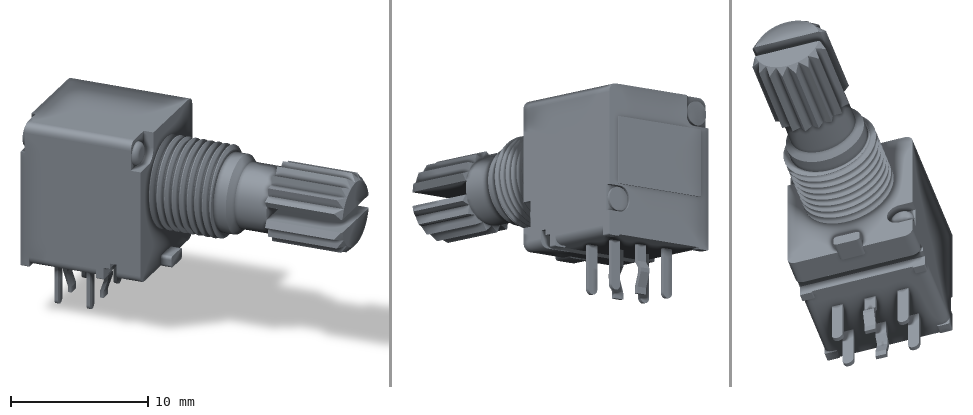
import cadquery as cq
import math


BOX_WIDTH = 9.6
BOX_TOP = 4.85
BOX_BOTTOM = -6.3
EDGE_RADIUS = 0.65
COVER_BACK = -2.45
HOUSING_BACK = -9.55

LABEL_WIDTH = 7.95
LABEL_HEIGHT = 5.0
LABEL_THICKNESS = 0.1
LABEL_CENTER_Z = -0.05

FOOT_BOTTOM = -6.43
FOOT_WIDTH = 0.95
FOOT_EDGE_RADIUS = 0.1
REAR_FOOT_LENGTH = 0.7
FRONT_FOOT_LENGTH = 0.6

HOUSING_NOTCH_LENGTH = 0.52
HOUSING_NOTCH_TOP = -5.47
COVER_NOTCH_LENGTH = 0.52
COVER_NOTCH_TOP = -5.05

RIVET_DIAMETER = 1.77
RIVET_Y = 3.8
RIVET_Z = 3.65
REAR_RECESS_DEPTH = 0.32
REAR_RIVET_HEIGHT = 0.2
FRONT_RECESS_DEPTH = 0.76
FRONT_RIVET_HEIGHT = 0.42
FRONT_RIVET_RADIUS = 0.4
CORNER_RECESS_HEIGHT = 2.22
REAR_CORNER_WIDTH = 2.1
REAR_CORNER_RADIUS = 0.71
FRONT_CORNER_WIDTH = 2.4
FRONT_CORNER_RADIUS = 0.95
SIDE_RECESS_RADIUS = 0.95

PIN_ROWS_X = (-7.5, -4.95)
PIN_PITCH_Y = 2.51
PIN_WIDTH = 0.85
PIN_THICKNESS = 0.3
PIN_TIP = -9.98
CLIP_BULGE = 0.37
CLIP_BEND_START = -7.57
CLIP_PEAK_TOP = -8.1
CLIP_PEAK_BOTTOM = -8.4
CLIP_BEND_END = -9.5

TAB_BACK = -0.7
TAB_FRONT = 0.81
TAB_WIDTH = 2.0
TAB_TOP = -5.52
TAB_BOTTOM = -6.4
TAB_EDGE_RADIUS = 0.25

THREAD_LENGTH = 5.0
THREAD_TURNS = 25 / 3
THREAD_PITCH = THREAD_LENGTH / THREAD_TURNS
THREAD_CREST_RADIUS = 3.5
THREAD_ROOT_RADIUS = 3.1
THREAD_CREST_FLAT = 0.05
THREAD_BASE_WIDTH = 0.6
THREAD_EMBED = 0.05
COLLAR_DIAMETER = 6.0
COLLAR_END = 6.5
COLLAR_CHAMFER = 0.52

SHAFT_DIAMETER = 5.0
SHAFT_END = 15.0
SPLINE_START = 9.02
SPLINE_TIP_DIAMETER = 6.0
SPLINE_TIP_RADIUS = SPLINE_TIP_DIAMETER / 2
SPLINE_ROOT_RADIUS = SHAFT_DIAMETER / 2
SPLINE_TEETH = 18
SPLINE_CHAMFER = 0.52
SLOT_WIDTH = 1.04


def block(x_range, y_range, z_range):
    """Box between the given limits along X, Y and Z."""
    limits = (x_range, y_range, z_range)
    size = [high - low for low, high in limits]
    low_corner = cq.Vector(*[low for low, high in limits])
    return cq.Workplane(cq.Solid.makeBox(*size, low_corner))


def rod(radius, x_start, x_end, y=0, z=0):
    """Cylinder parallel to the X axis."""
    start = cq.Vector(x_start, y, z)
    return cq.Workplane(cq.Solid.makeCylinder(radius, x_end - x_start, start, cq.Vector(1, 0, 0)))


def rounded_box(x_start, x_end):
    """Length of the box with all four edges along X rounded."""
    half = BOX_WIDTH / 2
    box = block((x_start, x_end), (-half, half), (BOX_BOTTOM, BOX_TOP))
    return box.edges("|X").fillet(EDGE_RADIUS)


def corner_recess(x_start, x_end, width, radius):
    """Cutter for the recess at the top corner on the -Y side."""
    side = -BOX_WIDTH / 2
    cutter = block((x_start, x_end), (side, side + width), (BOX_TOP - CORNER_RECESS_HEIGHT, BOX_TOP))
    return cutter.edges("|X and >Y and <Z").fillet(radius)


def side_recess(x_start, x_end):
    """Cutter for the round-ended recess, open to the +Y side."""
    round_end = rod(SIDE_RECESS_RADIUS, x_start, x_end, RIVET_Y, -RIVET_Z)
    z_range = (-RIVET_Z - SIDE_RECESS_RADIUS, -RIVET_Z + SIDE_RECESS_RADIUS)
    return round_end.union(block((x_start, x_end), (RIVET_Y, BOX_WIDTH / 2), z_range))


def straight_pin(row_x, y):
    """Flat terminal pin with a fully rounded tip."""
    radius = PIN_WIDTH / 2
    return (
        cq.Workplane("YZ", origin=(row_x - PIN_THICKNESS / 2, y, 0))
        .moveTo(-radius, BOX_BOTTOM)
        .lineTo(-radius, PIN_TIP + radius)
        .threePointArc((0, PIN_TIP), (radius, PIN_TIP + radius))
        .lineTo(radius, BOX_BOTTOM)
        .close()
        .extrude(PIN_THICKNESS)
    )


def clip_pin(row_x, direction):
    """Flat terminal strip that bulges towards the given X direction."""
    bends = [
        (0, BOX_BOTTOM),
        (0, CLIP_BEND_START),
        (CLIP_BULGE, CLIP_PEAK_TOP),
        (CLIP_BULGE, CLIP_PEAK_BOTTOM),
        (0, CLIP_BEND_END),
        (0, PIN_TIP),
    ]
    half = PIN_THICKNESS / 2
    outer_side = [(row_x + direction * (offset + half), z) for offset, z in bends]
    inner_side = [(row_x + direction * (offset - half), z) for offset, z in reversed(bends)]
    outline = cq.Workplane("XZ").polyline(outer_side + inner_side).close()
    return outline.extrude(PIN_WIDTH / 2, both=True)


def foot(x_start, x_end, side):
    """Square corner foot on the +Y (side = 1) or -Y (side = -1) edge of the housing."""
    outer = side * BOX_WIDTH / 2
    inner = outer - side * FOOT_WIDTH
    y_range = (min(inner, outer), max(inner, outer))
    solid = block((x_start, x_end), y_range, (FOOT_BOTTOM, BOX_BOTTOM + EDGE_RADIUS))
    return solid.edges("|X and <Z").fillet(FOOT_EDGE_RADIUS)


def make_housing():
    """Rear housing with label, feet, rear rivet heads and terminals."""
    housing = rounded_box(HOUSING_BACK, COVER_BACK)
    notch_back = COVER_BACK - HOUSING_NOTCH_LENGTH
    half = BOX_WIDTH / 2
    housing = housing.cut(block((notch_back, COVER_BACK), (-half, half), (BOX_BOTTOM, HOUSING_NOTCH_TOP)))

    for side in (-1, 1):
        housing = housing.union(foot(HOUSING_BACK, HOUSING_BACK + REAR_FOOT_LENGTH, side))
        housing = housing.union(foot(notch_back - FRONT_FOOT_LENGTH, notch_back, side))

    floor = HOUSING_BACK + REAR_RECESS_DEPTH
    housing = housing.cut(corner_recess(HOUSING_BACK, floor, REAR_CORNER_WIDTH, REAR_CORNER_RADIUS))
    housing = housing.cut(side_recess(HOUSING_BACK, floor))
    for side in (-1, 1):
        head = rod(RIVET_DIAMETER / 2, floor - REAR_RIVET_HEIGHT, floor, side * RIVET_Y, -side * RIVET_Z)
        housing = housing.union(head)

    label = block(
        (HOUSING_BACK - LABEL_THICKNESS, HOUSING_BACK),
        (-LABEL_WIDTH / 2, LABEL_WIDTH / 2),
        (LABEL_CENTER_Z - LABEL_HEIGHT / 2, LABEL_CENTER_Z + LABEL_HEIGHT / 2),
    )
    housing = housing.union(label)

    for row_x, direction in zip(PIN_ROWS_X, (-1, 1)):
        housing = housing.union(clip_pin(row_x, direction))
        for side in (-1, 1):
            housing = housing.union(straight_pin(row_x, side * PIN_PITCH_Y))
    return housing


def make_thread():
    """Right-handed helical ridge around the X axis, cut flush at both ends of the thread."""
    base_radius = THREAD_ROOT_RADIUS - THREAD_EMBED
    helix_length = THREAD_LENGTH + 2 * THREAD_PITCH
    helix = cq.Wire.makeHelix(THREAD_PITCH, helix_length, base_radius)
    profile = [
        (base_radius, -THREAD_BASE_WIDTH / 2),
        (THREAD_CREST_RADIUS, -THREAD_CREST_FLAT / 2),
        (THREAD_CREST_RADIUS, THREAD_CREST_FLAT / 2),
        (base_radius, THREAD_BASE_WIDTH / 2),
    ]
    ridge = cq.Workplane("XZ").polyline(profile).close().sweep(cq.Workplane(helix), isFrenet=True)
    ridge = ridge.rotate((0, 0, 0), (0, 1, 0), 90).rotate((0, 0, 0), (1, 0, 0), 180)
    ridge = ridge.translate((-THREAD_PITCH, 0, 0))
    return ridge.intersect(rod(THREAD_CREST_RADIUS + THREAD_PITCH, 0, THREAD_LENGTH))


def make_cover():
    """Front cover with front rivet heads, locating tab and threaded bushing."""
    cover = rounded_box(COVER_BACK, 0)
    half = BOX_WIDTH / 2
    notch_front = COVER_BACK + COVER_NOTCH_LENGTH
    cover = cover.cut(block((COVER_BACK, notch_front), (-half, half), (BOX_BOTTOM, COVER_NOTCH_TOP)))

    floor = -FRONT_RECESS_DEPTH
    cover = cover.cut(corner_recess(floor, 0, FRONT_CORNER_WIDTH, FRONT_CORNER_RADIUS))
    cover = cover.cut(side_recess(floor, 0))
    for side in (-1, 1):
        head = rod(RIVET_DIAMETER / 2, floor, floor + FRONT_RIVET_HEIGHT, side * RIVET_Y, -side * RIVET_Z)
        cover = cover.union(head.faces(">X").edges().fillet(FRONT_RIVET_RADIUS))

    tab = block((TAB_BACK, TAB_FRONT), (-TAB_WIDTH / 2, TAB_WIDTH / 2), (TAB_BOTTOM, TAB_TOP))
    cover = cover.union(tab.edges("|X").fillet(TAB_EDGE_RADIUS))

    collar = rod(COLLAR_DIAMETER / 2, 0, COLLAR_END).faces(">X").chamfer(COLLAR_CHAMFER)
    bushing = rod(THREAD_ROOT_RADIUS, 0, THREAD_LENGTH).union(make_thread()).union(collar)
    return cover.union(bushing).cut(rod(SHAFT_DIAMETER / 2, COVER_BACK, COLLAR_END))


def make_shaft():
    """Shaft from the housing wall through the bushing to the split, splined end."""
    half_tooth = math.pi / SPLINE_TEETH
    outline = []
    for step in range(2 * SPLINE_TEETH):
        angle = step * half_tooth
        radius = SPLINE_TIP_RADIUS if step % 2 else SPLINE_ROOT_RADIUS
        outline.append((radius * math.sin(angle), radius * math.cos(angle)))
    spline = (
        cq.Workplane("YZ", origin=(SPLINE_START, 0, 0))
        .polyline(outline)
        .close()
        .extrude(SHAFT_END - SPLINE_START)
    )
    envelope = rod(SPLINE_TIP_RADIUS, SPLINE_START, SHAFT_END).faces(">X").chamfer(SPLINE_CHAMFER)
    shaft = rod(SHAFT_DIAMETER / 2, COVER_BACK, SPLINE_START).union(spline.intersect(envelope))

    reach = SPLINE_TIP_RADIUS
    slot = block((SPLINE_START, SHAFT_END), (-reach, reach), (-SLOT_WIDTH / 2, SLOT_WIDTH / 2))
    return shaft.cut(slot)


housing = make_housing()
cover = make_cover()
shaft = make_shaft()

result = cq.Compound.makeCompound([body.solids().val() for body in (housing, cover, shaft)])